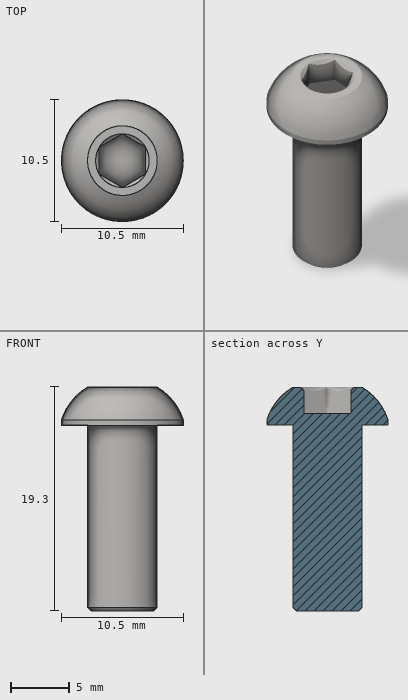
import cadquery as cq
import math

total_length = 19.3
head_height = 3.3
head_radius = 5.25
rim_height = 0.48
shank_diameter = 6.0
shank_radius = shank_diameter / 2
crown_radius = shank_radius
dome_bulge = 0.33
tip_chamfer = 0.33

hex_across_flats = 4.0
socket_depth = 2.24

shank_length = total_length - head_height
hex_flat_radius = hex_across_flats / 2
hex_corner_radius = hex_across_flats / math.sqrt(3)


def make_head():
    """Revolved head: flat underside, straight rim, domed side and flat crown."""
    rise = head_height - rim_height
    run = head_radius - crown_radius
    chord = math.hypot(rise, run)
    arc_middle = (
        (head_radius + crown_radius) / 2 + dome_bulge * rise / chord,
        (head_height + rim_height) / 2 + dome_bulge * run / chord,
    )
    return (
        cq.Workplane("XZ")
        .lineTo(head_radius, 0)
        .lineTo(head_radius, rim_height)
        .threePointArc(arc_middle, (crown_radius, head_height))
        .lineTo(0, head_height)
        .close()
        .revolve(360, (0, 0), (0, 1))
    )


def make_shank():
    """Plain cylinder with a chamfered tip."""
    return (
        cq.Workplane("XY")
        .circle(shank_radius)
        .extrude(-shank_length)
        .faces("<Z")
        .chamfer(tip_chamfer)
    )


def make_socket():
    """Hexagonal recess with corners on the Y axis and a conical mouth."""
    hexagon = (
        cq.Workplane("XY")
        .workplane(offset=head_height - socket_depth)
        .transformed(rotate=(0, 0, 90))
        .polygon(6, 2 * hex_corner_radius)
        .extrude(socket_depth)
    )
    mouth_depth = hex_corner_radius - hex_flat_radius
    mouth = (
        cq.Workplane("XZ")
        .moveTo(0, head_height)
        .lineTo(hex_corner_radius, head_height)
        .lineTo(hex_flat_radius, head_height - mouth_depth)
        .lineTo(0, head_height - mouth_depth)
        .close()
        .revolve(360, (0, 0), (0, 1))
    )
    return hexagon.union(mouth)


result = make_head().union(make_shank()).cut(make_socket())